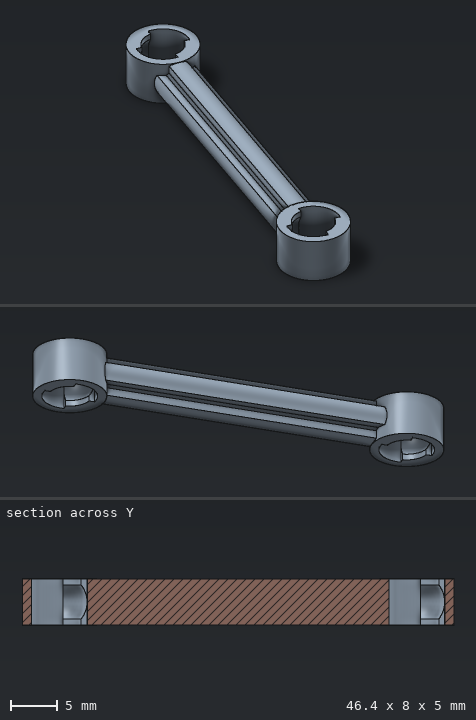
import cadquery as cq
import math

length = 46.4
boss_diameter = 8.0
height = 5.0
bore_diameter = 6.0
mouth_diameter = 4.75
lip_side_offset = 0.35
arm_half_width = 1.05
bar_recess = 0.025
corner_chamfer = 0.3

boss_spacing = length - boss_diameter
boss_centers = [(-boss_spacing / 2, 0), (boss_spacing / 2, 0)]
bar_radius = height / 2 - bar_recess


def make_bar():
    """Cross-shaped bar whose four arm tips lie on one cylinder."""
    shoulder = arm_half_width + corner_chamfer
    tip = math.sqrt(bar_radius**2 - arm_half_width**2)
    profile = cq.Workplane("YZ", origin=(-boss_spacing / 2, 0, 0)).moveTo(tip, -arm_half_width)
    for quarter in range(4):
        cos = round(math.cos(quarter * math.pi / 2))
        sin = round(math.sin(quarter * math.pi / 2))

        def turned(u, v):
            return (u * cos - v * sin, u * sin + v * cos)

        profile = profile.threePointArc(turned(bar_radius, 0), turned(tip, arm_half_width))
        profile = profile.lineTo(*turned(shoulder, arm_half_width))
        profile = profile.lineTo(*turned(arm_half_width, shoulder))
        if quarter < 3:
            profile = profile.lineTo(*turned(arm_half_width, tip))
    return profile.close().extrude(boss_spacing)


def make_cylinders(diameter):
    """Full-height cylinders on both boss axes."""
    plane = cq.Workplane("XY", origin=(0, 0, -height / 2))
    return plane.pushPoints(boss_centers).circle(diameter / 2).extrude(height)


def make_lip_sectors():
    """Blocks marking the two opposite quarters of each boss that carry lips."""
    block_size = boss_diameter / 2
    block_center = lip_side_offset + block_size / 2
    block_points = []
    for x, y in boss_centers:
        for side in (-1, 1):
            block_points.append((x + side * block_center, y + side * block_center))
    plane = cq.Workplane("XY", origin=(0, 0, -height / 2))
    return plane.pushPoints(block_points).rect(block_size, block_size).extrude(height)


def make_sockets():
    """Ball sockets opening to the top and bottom through narrower round mouths."""
    socket_radius = bore_diameter / 2
    mouth_radius = mouth_diameter / 2
    mouth_level = math.sqrt(socket_radius**2 - mouth_radius**2)
    half_section = (
        cq.Workplane("XZ")
        .moveTo(0, -height / 2)
        .lineTo(mouth_radius, -height / 2)
        .lineTo(mouth_radius, -mouth_level)
        .threePointArc((socket_radius, 0), (mouth_radius, mouth_level))
        .lineTo(mouth_radius, height / 2)
        .lineTo(0, height / 2)
        .close()
    )
    socket = half_section.revolve(360, (0, 0, 0), (0, 1, 0))
    sockets = cq.Workplane("XY")
    for x, y in boss_centers:
        sockets = sockets.add(socket.translate((x, y, 0)))
    return sockets.combine()


lip_sectors = make_lip_sectors()
slots = make_cylinders(bore_diameter).cut(lip_sectors)
undercuts = make_sockets().intersect(lip_sectors)
body = make_bar().union(make_cylinders(boss_diameter))
result = body.cut(slots).cut(undercuts)